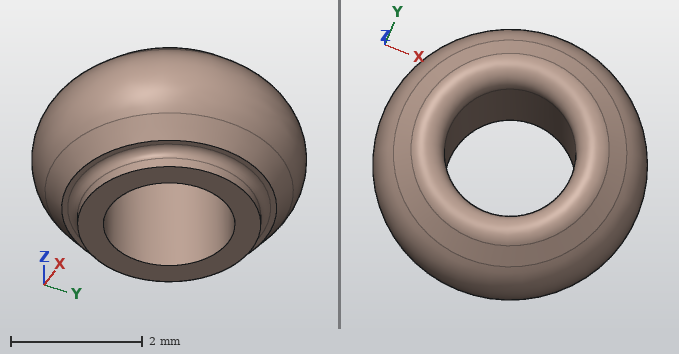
import cadquery as cq
import math

outer_radius = 2.095
bore_radius = 1.0
height = 2.32
bulge_radius = 1.0
bulge_z = 1.255
lip_radius = 0.3
underside_z = 0.32
underside_radius = 1.64

neck_radius = 1.395
neck_fillet = 0.15

bulge_r = outer_radius - bulge_radius
lip_r = bore_radius + lip_radius
lip_z = height - lip_radius


def arc_point(center_r, center_z, radius, angle):
    """Point on a section arc, with the angle measured up from the radial direction."""
    return (center_r + radius * math.cos(angle), center_z + radius * math.sin(angle))


center_distance = math.hypot(lip_r - bulge_r, lip_z - bulge_z)
center_angle = math.atan2(lip_z - bulge_z, lip_r - bulge_r)
shoulder_angle = center_angle - math.acos((bulge_radius - lip_radius) / center_distance)

edge_distance = math.hypot(underside_radius - bulge_r, underside_z - bulge_z)
edge_angle = math.atan2(underside_z - bulge_z, underside_radius - bulge_r)
flank_angle = edge_angle + math.acos(bulge_radius / edge_distance)

fillet_center_r = neck_radius + neck_fillet
fillet_center_z = underside_z - neck_fillet
fillet_middle = arc_point(fillet_center_r, fillet_center_z, neck_fillet, math.radians(135))

section = (
    cq.Workplane("XZ")
    .moveTo(bore_radius, 0)
    .lineTo(neck_radius, 0)
    .lineTo(neck_radius, fillet_center_z)
    .threePointArc(fillet_middle, (fillet_center_r, underside_z))
    .lineTo(underside_radius, underside_z)
    .lineTo(*arc_point(bulge_r, bulge_z, bulge_radius, flank_angle))
    .threePointArc(
        (outer_radius, bulge_z),
        arc_point(bulge_r, bulge_z, bulge_radius, shoulder_angle),
    )
    .lineTo(*arc_point(lip_r, lip_z, lip_radius, shoulder_angle))
    .threePointArc((lip_r, height), (bore_radius, lip_z))
    .close()
)

result = section.revolve(360, (0, 0, 0), (0, 1, 0))